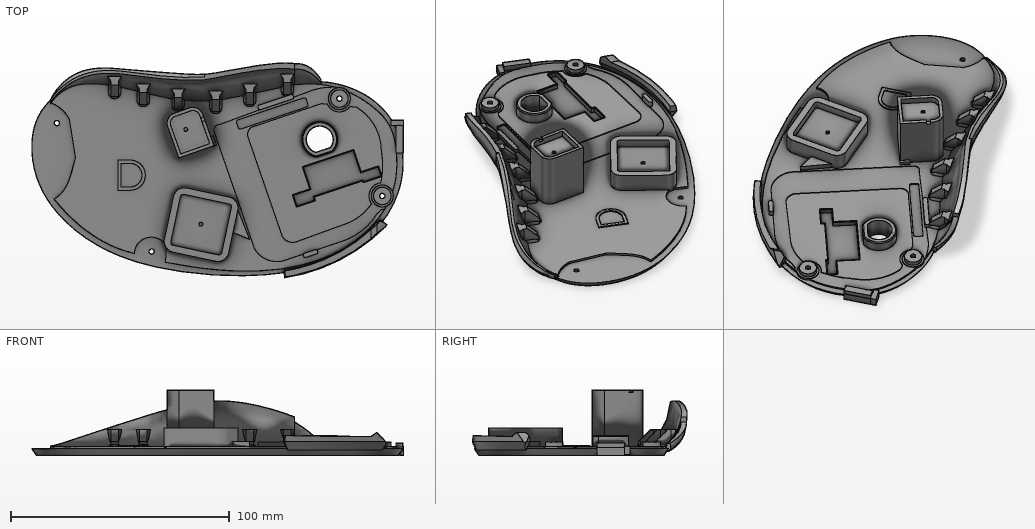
import cadquery as cq
import math

rim_height = 3.2
plate_height = 4.2
underside_inset = 2.2
panel_depth = 0.3
panel_angle = 18.5

tall_box_height = 30.0
low_box_height = 12.7
marker_radius = 0.9
marker_depth = 1.0
rib_height = 11.9
boss_height = 6.2

button_center = (131.6, 63.3)
boss_centers = [(140.6, 82.0), (160.2, 37.5)]
floor_hole_centers = [(11.5, 70.8), (54.8, 12.1)]
screw_hole_radius = 1.15

root_z = rim_height / 2

rim_points = [
    (8.0, 80.7), (1.6, 70.4), (0.09, 57.0), (3.9, 41.8), (16.2, 25.1), (37.2, 11.3), (66.4, 3.2),
    (93.0, 1.0), (115.5, 2.4), (141.1, 10.0), (162.6, 29.0), (168.7, 43.3), (169.3, 58.7),
    (165.2, 71.0), (155.4, 81.7), (132.9, 89.7), (117.6, 88.7), (92.0, 83.8), (74.5, 82.2),
    (56.1, 84.9), (33.6, 89.4), (19.3, 88.4),
]

floor_edge_points = [
    (8.8, 80.0), (19.3, 87.8), (33.6, 88.6), (56.1, 84.0), (74.5, 81.4), (92.0, 83.0), (117.6, 88.0),
    (132.4, 88.4), (146.2, 84.3), (155.4, 78.6), (163.6, 69.4), (166.5, 58.7), (165.7, 42.3),
    (158.5, 27.4), (138.0, 11.1), (115.5, 4.4), (88.9, 3.4), (61.2, 7.2),
]
hole_scallop = [(61.4, 14.8), (54.8, 18.7), (46.9, 11.2)]
floor_front_points = [(32.6, 16.7), (20.3, 25.4), (10.2, 36.1)]
left_scallop_points = [(15.7, 41.8), (18.3, 48.5), (20.0, 55.0)]
left_scallop_end = (17.2, 72.6)

wall_sections_left = [
    (8.6, 79.6, 80.2, 81.6, 4.4),
    (14.0, 84.7, 86.2, 89.0, 5.8),
    (25.0, 87.2, 92.2, 95.1, 9.4),
    (41.8, 85.7, 93.2, 95.6, 14.9),
    (56.1, 82.3, 91.4, 94.3, 19.4),
    (70.0, 80.0, 90.4, 93.3, 23.0),
    (79.0, 79.8, 90.6, 93.2, 24.6),
]
wall_sections_right = [
    (79.0, 79.8, 90.6, 93.0, 24.6),
    (89.0, 80.8, 92.4, 94.6, 25.0),
    (105.0, 84.0, 95.1, 97.4, 22.5),
    (112.5, 85.6, 95.7, 98.2, 20.4),
    (120.1, 87.0, 95.5, 98.1, 17.7),
]
wall_sections_end = [
    (120.1, 87.0, 95.5, 98.0, 15.4),
    (126.8, 88.0, 94.0, 96.4, 10.8),
    (132.2, 88.4, 89.0, 90.5, 5.6),
]
rim_width = 1.3
rim_drop_left = 1.3
rim_drop_right = 0.0
inner_bulge = 0.10
outer_bulge = 0.15
wall_root_z = 2.0

rib_feet = [(37.9, 81.7), (51.0, 78.1), (66.9, 75.9), (84.1, 74.9), (99.6, 78.1), (116.8, 82.7)]


def rotated(u, v, origin, angle):
    """Point (u, v) of a frame at origin turned by angle degrees."""
    turn = math.radians(angle)
    return (
        origin[0] + u * math.cos(turn) - v * math.sin(turn),
        origin[1] + u * math.sin(turn) + v * math.cos(turn),
    )


def turned_plane(origin, angle, z):
    """Horizontal workplane at height z whose x direction is turned by angle."""
    direction = rotated(1, 0, (0, 0), angle)
    return cq.Workplane(cq.Plane((origin[0], origin[1], z), (direction[0], direction[1], 0), (0, 0, 1)))


def inset_points(points, distance):
    """Points of a closed counter-clockwise outline moved inwards along their normals."""
    moved = []
    for index, (x, y) in enumerate(points):
        before = points[index - 1]
        after = points[(index + 1) % len(points)]
        along = (after[0] - before[0], after[1] - before[1])
        length = math.hypot(*along)
        moved.append((x - distance * along[1] / length, y + distance * along[0] / length))
    return moved


def block(center, angle, length, width, bottom, top, corner=0.0):
    """Turned rectangular block with optional rounded vertical edges."""
    solid = turned_plane(center, angle, bottom).rect(length, width).extrude(top - bottom)
    if corner > 0:
        solid = solid.edges("|Z").fillet(corner)
    return solid


def cylinder(center, radius, bottom, top):
    return cq.Workplane("XY", origin=(center[0], center[1], bottom)).circle(radius).extrude(top - bottom)


def base_slab():
    """Flat base whose flank draws in towards the underside."""
    underside = inset_points(rim_points, underside_inset)
    return (
        cq.Workplane("XY")
        .spline(underside, periodic=True)
        .close()
        .workplane(offset=rim_height)
        .spline(rim_points, periodic=True)
        .close()
        .loft(combine=True)
    )


def raised_floor():
    outline = (
        cq.Workplane("XY", origin=(0, 0, root_z))
        .moveTo(*floor_edge_points[0])
        .spline(floor_edge_points[1:], includeCurrent=True)
        .lineTo(*hole_scallop[0])
        .threePointArc(hole_scallop[1], hole_scallop[2])
        .spline(floor_front_points, includeCurrent=True)
        .spline(left_scallop_points, includeCurrent=True)
        .lineTo(*left_scallop_end)
        .threePointArc((14.6, 76.2), floor_edge_points[0])
        .close()
    )
    return outline.extrude(plate_height - root_z)


def arc_middle(start, end, bulge):
    """Middle of an arc from start to end that bulges outwards and down."""
    run = end[0] - start[0]
    rise = end[1] - start[1]
    return (
        (start[0] + end[0]) / 2 + bulge * rise,
        (start[1] + end[1]) / 2 - bulge * run,
    )


def wall_wire(section, rim_drop):
    """Closed wall section in its own YZ plane."""
    x, foot_y, rim_inner_y, outer_y, rim_z = section
    inner_foot = (foot_y - 0.3, wall_root_z + 1.0)
    outer_foot = (foot_y + 1.5, wall_root_z)
    inner_rim = (rim_inner_y, rim_z)
    outer_rim = (rim_inner_y + rim_width, rim_z)
    shoulder = (outer_y, rim_z - rim_drop)
    return (
        cq.Workplane("YZ", origin=(x, 0, 0))
        .moveTo(*inner_foot)
        .threePointArc(arc_middle(inner_foot, inner_rim, inner_bulge), inner_rim)
        .lineTo(*outer_rim)
        .lineTo(*shoulder)
        .threePointArc(arc_middle(outer_foot, shoulder, outer_bulge), outer_foot)
        .close()
        .val()
    )


def side_wall(sections, rim_drop):
    return cq.Workplane(cq.Solid.makeLoft([wall_wire(section, rim_drop) for section in sections]))


def wall_rib(foot):
    """Buttress with a flat top, a sloping nose and a flared rounded foot."""
    x, y = foot
    width = 3.5
    flared_width = 6.6
    foot_width = 6.0
    nose_y = y + 1.2
    nose_z = 6.5
    top_y = nose_y + rib_height - nose_z
    back_y = y + 10.5
    flare_y = top_y + 1.5
    flare_end_y = flare_y + 2.5
    profile = (
        cq.Workplane("YZ", origin=(x - flared_width / 2, 0, 0))
        .polyline([
            (nose_y, rim_height), (nose_y, nose_z), (top_y, rib_height),
            (back_y, rib_height), (y + 8.0, rim_height),
        ])
        .close()
        .extrude(flared_width)
    )
    plan = (
        cq.Workplane("XY", origin=(x, 0, 0))
        .polyline([
            (-width / 2, nose_y), (width / 2, nose_y), (width / 2, flare_y), (flared_width / 2, flare_end_y),
            (flared_width / 2, back_y), (-flared_width / 2, back_y), (-flared_width / 2, flare_end_y),
            (-width / 2, flare_y),
        ])
        .close()
        .extrude(rib_height)
    )
    body = profile.intersect(plan)
    flare = (foot_width - width) / 2
    foot_length = 9.0
    pad = (
        cq.Workplane("XY", origin=(x, y + foot_length / 2, plate_height - 0.2))
        .slot2D(foot_length, foot_width, 90)
        .extrude(flare + 0.2, taper=45)
    )
    return body.union(pad)


def panel_cutter():
    """Sunken band: the panel outline with the central pad left standing."""
    floor = plate_height - panel_depth
    outline = (
        cq.Workplane("XY", origin=(0, 0, floor))
        .moveTo(83.4, 66.8)
        .threePointArc((83.7, 69.0), (86.0, 70.2))
        .lineTo(125.0, 84.6)
        .threePointArc((136.0, 87.2), (146.6, 85.6))
        .threePointArc((161.4, 74.6), (167.4, 58.7))
        .threePointArc((166.4, 42.0), (157.8, 29.4))
        .threePointArc((150.8, 21.6), (141.6, 16.7))
        .lineTo(116.5, 8.4)
        .threePointArc((108.6, 8.0), (101.7, 13.6))
        .close()
    )
    pad = (
        cq.Workplane("XY", origin=(0, 0, floor))
        .moveTo(98.8, 64.5)
        .threePointArc((99.2, 67.6), (102.0, 69.4))
        .lineTo(132.4, 79.7)
        .lineTo(148.3, 78.1)
        .threePointArc((156.5, 69.9), (159.7, 58.7))
        .threePointArc((160.3, 50.0), (159.5, 43.3))
        .lineTo(155.4, 34.1)
        .threePointArc((150.8, 29.0), (145.2, 25.4))
        .lineTo(121.5, 16.8)
        .threePointArc((117.4, 16.6), (114.5, 19.0))
        .close()
    )
    return outline.extrude(1).cut(pad.extrude(1))


def cover_recess():
    """Hat-shaped pocket: a crown with a wider, stepped brim below it."""
    crown_half = 12.0
    crown_top = 11.0
    brim_half = 20.4
    brim_top = 0.3
    brim_bottom_left = -4.9
    brim_bottom_right = -4.0
    step_bottom = -3.1
    depth = 2.6
    ledge = 0.4
    points = [
        (-crown_half, crown_top), (crown_half, crown_top), (crown_half, brim_top),
        (brim_half, brim_top), (brim_half, brim_bottom_right), (crown_half, brim_bottom_right),
        (crown_half, step_bottom), (-crown_half, step_bottom), (-crown_half, brim_bottom_left),
        (-brim_half, brim_bottom_left), (-brim_half, brim_top), (-crown_half, brim_top),
    ]
    center = (139.0, 44.0)
    pocket = turned_plane(center, panel_angle, plate_height - depth).polyline(points).close()
    pocket = pocket.extrude(depth + 1)
    mouth = turned_plane(center, panel_angle, plate_height - ledge).polyline(points).close()
    mouth = mouth.offset2D(ledge).extrude(ledge + 1)
    return pocket.union(mouth)


def flatted_disc(radius, flat, bottom, top):
    """Disc at the button position with one flat side at the given distance."""
    keep_center = rotated(0, radius - flat, button_center, panel_angle)
    keep = block(keep_center, panel_angle, 2 * radius, 2 * radius, bottom, top)
    return cylinder(button_center, radius, bottom, top).intersect(keep)


def add_button_ring(part):
    """Raised collar around a through opening, both with one flat side."""
    outer_radius = 8.2
    bore_radius = 6.1
    outer_flat = 7.2
    bore_flat = 5.0
    ring_height = 9.3
    collar = flatted_disc(outer_radius, outer_flat, root_z, ring_height).faces(">Z").edges().chamfer(0.5)
    return part.union(collar).cut(flatted_disc(bore_radius, bore_flat, -1, ring_height + 1))


def add_slot_and_ridge(part):
    """Blind slot along the upper panel edge and a low ridge beside it."""
    slot_depth = 1.0
    ridge_top = 6.2
    slot = block((109.9, 75.2), panel_angle, 33.6, 4.4, plate_height - slot_depth, plate_height + 1, 1.0)
    ridge = block((111.5, 80.4), panel_angle, 17.0, 2.2, root_z, ridge_top, 0.8)
    return part.cut(slot).union(ridge)


def add_boss(part, center):
    """Screw boss on a low collar, standing in a round relief in the panel."""
    relief_radius = 6.1
    collar_radius = 5.0
    boss_radius = 4.0
    part = part.cut(cylinder(center, relief_radius, plate_height - panel_depth, plate_height))
    part = part.union(cylinder(center, collar_radius, root_z, plate_height))
    return part.union(cylinder(center, boss_radius, root_z, boss_height))


def edge_rail():
    """Curved snap rail on the front right edge with a peak at its far end."""
    widest_z = 6.4
    rail_root_z = 2.6
    peak_z = 10.7

    def drafted_band(height, draft):
        return (
            cq.Workplane("XY", origin=(0, 0, widest_z))
            .moveTo(115.6, 0.1)
            .threePointArc((141.1, 8.4), (162.6, 24.4))
            .lineTo(159.0, 26.6)
            .threePointArc((139.1, 11.4), (115.2, 3.6))
            .close()
            .extrude(height, taper=draft)
        )

    lower = drafted_band(rail_root_z - widest_z, 21)
    upper = drafted_band(peak_z - widest_z, 8)
    side_profile = (
        cq.Workplane("XZ")
        .polyline([
            (115.0, 0), (115.0, 9.3), (121.0, 9.1), (155.1, 8.8), (157.7, peak_z), (162.5, 5.6), (162.5, 0),
        ])
        .close()
        .extrude(-40)
    )
    return lower.union(upper).intersect(side_profile)


def rail_stop():
    """Small upright block behind the rail."""
    return block((127.4, 11.2), panel_angle, 6.8, 2.0, root_z, 6.8, 0.8)


def corner_box(x, y, bottom, length, width, top):
    """Axis-aligned box from its lowest corner."""
    size = (length, width, top - bottom)
    return cq.Workplane("XY").box(*size, centered=False).translate((x, y, bottom))


def end_tab():
    """Hook on the right end: a low post, an upright strip and an outer lip along the edge."""
    right_end = 169.98
    start_y = 57.1
    end_y = 72.2
    post_width = 2.6
    post_length = 5.9
    post = corner_box(right_end - post_length, end_y - post_width, 0.5, post_length, post_width, 4.3)
    strip = corner_box(166.4, start_y, 0.5, 3.2, end_y - post_width - start_y, 5.8)
    lip = corner_box(168.3, start_y, 0.2, 1.5, end_y - start_y, 3.7)
    return post.union(strip).union(lip)


def low_box():
    center = (77.4, 24.4)
    angle = -12
    side = 30.0
    wall = 3.1
    pocket_side = side - 2 * wall
    pocket_depth = 4.0
    gusset_top = 6.6
    box = block(center, angle, side, side, root_z, low_box_height, 5.0)
    pocket_floor = low_box_height - pocket_depth
    pocket = block(center, angle, pocket_side, pocket_side, pocket_floor, low_box_height + 1, 1.4)
    gusset = (
        cq.Workplane("XY", origin=(0, 0, root_z))
        .polyline([(93.0, 34.0), (99.6, 17.7), (92.0, 20.8)])
        .close()
        .extrude(gusset_top - root_z)
    )
    marker = cylinder((77.3, 24.6), marker_radius, pocket_floor - marker_depth, low_box_height)
    return box.union(gusset).cut(pocket).cut(marker)


def tall_box():
    center = (71.9, 67.1)
    angle = 19.5
    length = 17.0
    width = 20.0
    wall = 1.5
    corner = 4.8
    pocket_floor = tall_box_height - 3.0
    body = turned_plane(center, angle, root_z).rect(length, width)
    body = body.extrude(tall_box_height - root_z)
    far_side = cq.selectors.BoxSelector((55, 70, 0), (85, 85, tall_box_height + 1))
    body = body.edges("|Z").edges(far_side).fillet(corner)
    pocket = turned_plane(center, angle, pocket_floor).rect(length - 2 * wall, width - 2 * wall)
    pocket = pocket.extrude(4).edges("|Z").edges(far_side).fillet(corner - wall)
    notch = block(rotated(length / 2, 3.0, center, angle), angle, 4.0, 1.8,
                  tall_box_height - 1.2, tall_box_height + 1)
    fin = block(rotated(length / 2, -7.9, center, angle), angle, 2.4, 4.5, root_z, 5.8)
    marker = cylinder((70.4, 67.9), marker_radius, pocket_floor - marker_depth, tall_box_height)
    return body.cut(pocket).cut(notch).cut(marker).union(fin)


def letter_rim():
    """Low D-shaped rim on the left half of the floor."""
    height = 0.5
    stroke = 1.5
    left_x = 39.4
    middle_y = 47.0
    radius = 6.9
    straight = 5.6

    def d_shape(inset):
        r = radius - inset
        return (
            cq.Workplane("XY", origin=(left_x, middle_y, plate_height))
            .moveTo(inset, -r)
            .lineTo(straight, -r)
            .threePointArc((straight + r, 0), (straight, r))
            .lineTo(inset, r)
            .close()
            .extrude(height)
        )

    return d_shape(0).cut(d_shape(stroke))


result = base_slab().union(raised_floor())
result = result.union(side_wall(wall_sections_left, rim_drop_left))
result = result.union(side_wall(wall_sections_right, rim_drop_right))
result = result.union(side_wall(wall_sections_end, rim_drop_right))
for rib_foot in rib_feet:
    result = result.union(wall_rib(rib_foot))

result = result.cut(panel_cutter())
for boss_center in boss_centers:
    result = add_boss(result, boss_center)
result = result.cut(cover_recess())
result = add_slot_and_ridge(result)
result = add_button_ring(result)

result = result.union(edge_rail()).union(rail_stop()).union(end_tab())
result = result.union(low_box()).union(tall_box()).union(letter_rim())

for hole_center in boss_centers + floor_hole_centers:
    result = result.cut(cylinder(hole_center, screw_hole_radius, -1, boss_height + 1))